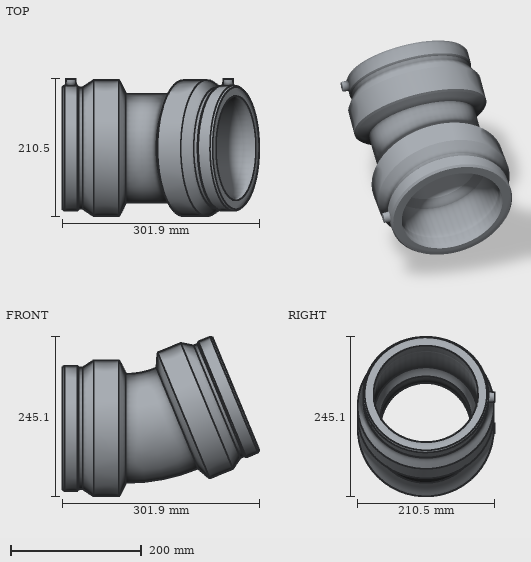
import cadquery as cq
import math

bend_angle = 22.5
socket_length = 97.5
center_to_end = 138.3
bend_radius = (center_to_end - socket_length) / math.tan(math.radians(bend_angle / 2))
pipe_radius = 83.7
pipe_bore_radius = 69.5

band_radius = 192.5 / 2
neck_radius = 186.5 / 2
bell_radius = 209.0 / 2
mouth_face_radius = 93.5
shoulder_radius = 100.5
mouth_bore_radius = 160.0 / 2

band_start = 3.3
band_end = 22.5
neck_start = 25.5
neck_end = 31.5
bell_start = 48.3
bell_end = 86.7
shoulder_station = 89.0
socket_bore_depth = 86.5

step_start = 21.7
step_length = 3.0
step_height = 0.3

pin_tip_radius = 7.5
pin_station = 13.0
pin_tip = 106.0
pin_root = 87.5
pin_foot_radius = 8.2


def revolve_about_x(points):
    """Revolve an (x, radius) outline about the X axis."""
    return cq.Workplane("XY").polyline(points).close().revolve(360, (0, 0, 0), (1, 0, 0))


def socket_body():
    profile = [
        (0, 0),
        (0, mouth_face_radius),
        (band_start, band_radius),
        (band_end, band_radius),
        (neck_start, neck_radius),
        (neck_end, neck_radius),
        (bell_start, bell_radius),
        (bell_end, bell_radius),
        (shoulder_station, shoulder_radius),
        (socket_length, pipe_radius),
        (socket_length, 0),
    ]
    return revolve_about_x(profile)


def socket_bore():
    inner_radius = mouth_bore_radius - step_height
    profile = [
        (0, 0),
        (0, mouth_bore_radius),
        (step_start, mouth_bore_radius),
        (step_start + step_length, inner_radius),
        (socket_bore_depth, inner_radius),
        (socket_length, pipe_bore_radius),
        (socket_length, 0),
    ]
    return revolve_about_x(profile)


def terminal_pin():
    """Round pin along +Y, tapering slightly from the band to its tip."""
    profile = [
        (0, pin_root),
        (pin_foot_radius, pin_root),
        (pin_foot_radius, band_radius),
        (pin_tip_radius, pin_tip),
        (0, pin_tip),
    ]
    pin = cq.Workplane("XY").polyline(profile).close().revolve(360, (0, 0, 0), (0, 1, 0))
    return pin.translate((pin_station, 0, 0))


def curved_rod(radius):
    """Solid round bar through the bend, rising from +X toward +Z."""
    disc = cq.Workplane("YZ", origin=(socket_length, 0, 0)).circle(radius)
    return disc.revolve(bend_angle, (3, bend_radius, 0), (0, bend_radius, 0))


def at_far_end(body):
    """Mirror a near-end body across the bend's plane of symmetry."""
    half_angle = math.radians(bend_angle / 2)
    normal = cq.Vector(math.cos(half_angle), 0, math.sin(half_angle))
    return cq.Workplane(body.val().mirror(normal, cq.Vector(center_to_end, 0, 0)))


near_socket = socket_body().union(terminal_pin())
near_bore = socket_bore()

outside = curved_rod(pipe_radius).union(near_socket).union(at_far_end(near_socket))
result = outside.cut(near_bore).cut(at_far_end(near_bore)).cut(curved_rod(pipe_bore_radius))